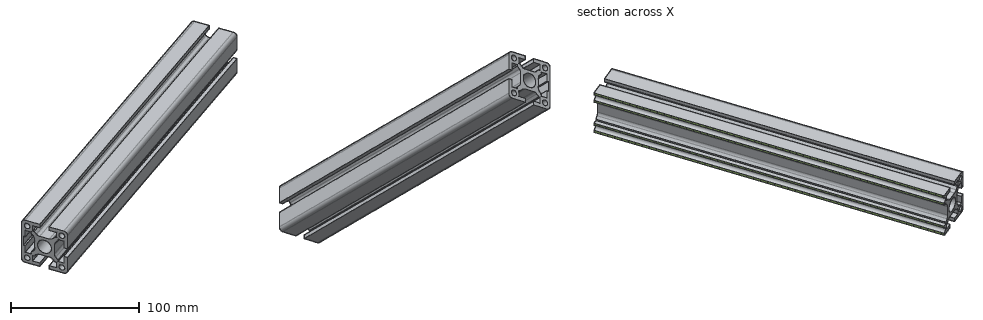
import cadquery as cq
import math

LENGTH = 300.0
SIDE = 40.0
CORNER_RADIUS = 3.3

SLOT_OPENING = 8.0
SLOT_WIDTH = 20.7
LIP_THICKNESS = 3.3
CLOSED_GROOVE_WALL = 1.8

CORE_WIDTH = 17.0
FLOOR_FLAT = 8.5
SHOULDER_HEIGHT = 11.7
BEND_RADIUS = 4.0
SLOPE_ANGLE = math.radians(45)
CENTRE_BORE = 12.0

HOLE_DIAMETER = 4.8
HOLE_SPACING = 30.0

half_side = SIDE / 2
half_length = LENGTH / 2
lip_inside = half_side - LIP_THICKNESS


def extrude_profile(profile):
    """Extrude an XZ profile over the full length, centred on Y."""
    return profile.extrude(half_length, both=True)


def slot_cavity():
    """Wide inner part of the upper slot: its floor bends up into 45 degree slopes."""
    half_flat = FLOOR_FLAT / 2
    half_width = SLOT_WIDTH / 2
    floor = CORE_WIDTH / 2
    slope_start_x = half_flat + BEND_RADIUS * math.sin(SLOPE_ANGLE)
    slope_start_z = floor + BEND_RADIUS * (1 - math.cos(SLOPE_ANGLE))
    shoulder_x = slope_start_x + (SHOULDER_HEIGHT - slope_start_z) / math.tan(SLOPE_ANGLE)
    profile = (
        cq.Workplane("XZ")
        .moveTo(-half_flat, floor)
        .lineTo(half_flat, floor)
        .radiusArc((slope_start_x, slope_start_z), -BEND_RADIUS)
        .lineTo(shoulder_x, SHOULDER_HEIGHT)
        .lineTo(half_width, SHOULDER_HEIGHT)
        .lineTo(half_width, lip_inside)
        .lineTo(-half_width, lip_inside)
        .lineTo(-half_width, SHOULDER_HEIGHT)
        .lineTo(-shoulder_x, SHOULDER_HEIGHT)
        .lineTo(-slope_start_x, slope_start_z)
        .radiusArc((-half_flat, floor), -BEND_RADIUS)
        .close()
    )
    return extrude_profile(profile)


def slot_mouth(outer_edge):
    """Narrow part of the upper slot, from the cavity out to outer_edge."""
    height = outer_edge - SHOULDER_HEIGHT
    middle = (outer_edge + SHOULDER_HEIGHT) / 2
    return extrude_profile(cq.Workplane("XZ").center(0, middle).rect(SLOT_OPENING, height))


def turned(body, angle):
    """Turn a body about the lengthwise axis."""
    return body.rotate((0, 0, 0), (0, 1, 0), angle)


result = cq.Workplane("XY").box(SIDE, LENGTH, SIDE).edges("|Y").fillet(CORNER_RADIUS)

cavity = slot_cavity()
open_slot = cavity.union(slot_mouth(half_side))
for angle in (0, 90, 180):
    result = result.cut(turned(open_slot, angle))

closed_slot = cavity.union(slot_mouth(half_side - CLOSED_GROOVE_WALL))
result = result.cut(turned(closed_slot, 270))

result = result.cut(extrude_profile(cq.Workplane("XZ").circle(CENTRE_BORE / 2)))
corner_holes = cq.Workplane("XZ").rect(HOLE_SPACING, HOLE_SPACING, forConstruction=True).vertices()
result = result.cut(extrude_profile(corner_holes.circle(HOLE_DIAMETER / 2)))